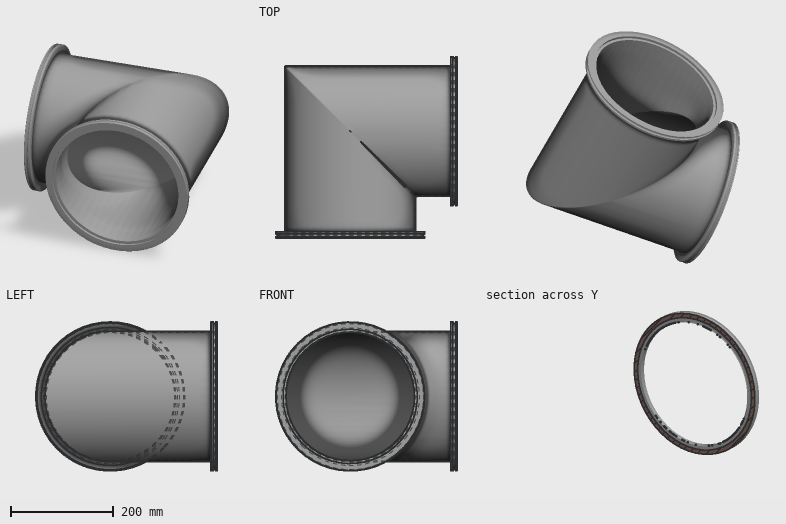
import cadquery as cq
overall_length = 352.8
flange_diameter = 289.5
leg_length = overall_length - flange_diameter / 2

pipe_radius = 127.0
wall = 2.0
bore_radius = pipe_radius - wall
skin_fillet = 3.0
bore_fillet = 1.8
blend_gap = 1.8

flange_radius = flange_diameter / 2
flange_thickness = 12.7
face_chamfer = 0.7
back_bevel_width = 2.0
back_bevel_height = 0.7

seat_radius = 130.5
seat_depth = 5.0
lip_thickness = 2.0
pipe_end = seat_depth + lip_thickness

relief_radius = 134.0
relief_depth = 1.0

groove_radius = 2.8
groove_centre = 5.3


def half_space(angle, offset, size):
    """Block on the far side of a vertical plane at the given distance and direction from the Z axis."""
    block = cq.Workplane("XY").box(size, size, size).translate((offset + size / 2, 0, 0))
    return block.rotate((0, 0, 0), (0, 0, 1), angle)


def round_seam(piece, fillet):
    """Fillet the edges of a piece that lie on the mitre plane x + y = 0."""
    tolerance = 0.005
    seam = [
        edge for edge in piece.edges("%ELLIPSE").vals()
        if abs(edge.Center().x + edge.Center().y) < tolerance
    ]
    return piece.newObject(seam).fillet(fillet)


def mitred_rod(radius, length, fillet):
    """Round rods along +X and -Y, joined on the plane x + y = 0 with a rounded seam."""
    size = 4 * length
    overrun = 2 * radius
    x_rod = cq.Workplane("YZ").workplane(offset=-overrun).circle(radius).extrude(length + overrun)
    y_rod = cq.Workplane("XZ").workplane(offset=-overrun).circle(radius).extrude(length + overrun)
    x_leg = x_rod.intersect(half_space(45, 0, size))
    y_leg = y_rod.intersect(half_space(225, 0, size))
    rod = x_leg.union(y_leg)

    outer_side = rod.intersect(half_space(135, blend_gap, size))
    inner_side = rod.intersect(half_space(315, blend_gap, size))
    middle = rod.cut(outer_side).cut(inner_side)
    return middle.union(round_seam(outer_side, fillet)).union(round_seam(inner_side, fillet))


def make_elbow():
    """Thin-walled mitre elbow whose ends stop inside the flanges."""
    length = leg_length - pipe_end
    outside = mitred_rod(pipe_radius, length, skin_fillet)
    bore = mitred_rod(bore_radius, length, bore_fillet)
    return outside.cut(bore)


def make_flange():
    """Flange turned about Z, with its sealing face on z = 0 and its back on +Z."""
    relief_floor = flange_thickness - relief_depth
    profile = (
        cq.Workplane("XZ")
        .moveTo(seat_radius, 0)
        .lineTo(flange_radius - face_chamfer, 0)
        .lineTo(flange_radius, face_chamfer)
        .lineTo(flange_radius, groove_centre - groove_radius)
        .threePointArc(
            (flange_radius - groove_radius, groove_centre),
            (flange_radius, groove_centre + groove_radius),
        )
        .lineTo(flange_radius, flange_thickness - back_bevel_height)
        .lineTo(flange_radius - back_bevel_width, flange_thickness)
        .lineTo(relief_radius, flange_thickness)
        .lineTo(relief_radius, relief_floor)
        .lineTo(pipe_radius, relief_floor)
        .lineTo(pipe_radius, pipe_end)
        .lineTo(bore_radius, pipe_end)
        .lineTo(bore_radius, seat_depth)
        .lineTo(seat_radius, seat_depth)
        .close()
    )
    return profile.revolve(360, (0, 0, 0), (0, 1, 0))


elbow = make_elbow()

flanges = [
    make_flange().rotate((0, 0, 0), axis, -90).translate(position)
    for axis, position in [
        ((0, 1, 0), (leg_length, 0, 0)),
        ((1, 0, 0), (0, -leg_length, 0)),
    ]
]

result = cq.Compound.makeCompound([elbow.val(), *[flange.val() for flange in flanges]])